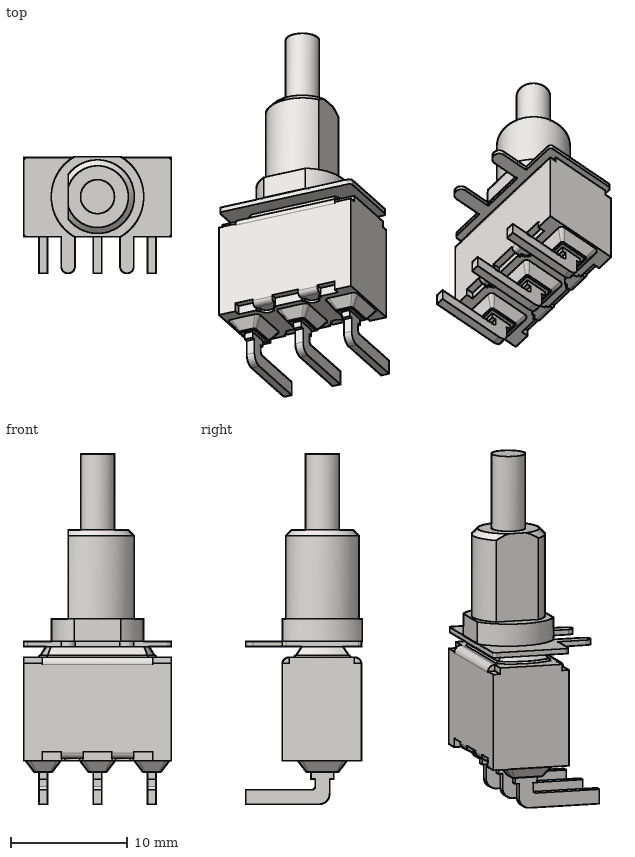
import cadquery as cq
import math


TERMINAL_COLLAR_Z = 2.17
SEAL_BOTTOM_Z = 2.75
CASE_BOTTOM_Z = 3.75
END_BLOCK_TOP_Z = 12.15
CASE_TOP_Z = 12.68
PLATE_BOTTOM_Z = 13.6
PLATE_TOP_Z = 14.05
FLANGE_TOP_Z = 15.97
BUSHING_TOP_Z = 23.65
PLUNGER_TOP_Z = 30.2

CASE_LENGTH = 12.7
FRONT_Y = -3.47
BACK_Y = 3.38
CASE_DEPTH = BACK_Y - FRONT_Y
CASE_CENTER_Y = (FRONT_Y + BACK_Y) / 2
SHELL_THICKNESS = 0.63
CORE_DEPTH = CASE_DEPTH - 2 * SHELL_THICKNESS
SHELL_LENGTH = 9.55
SHELL_BOTTOM_Z = 4.53
SHELL_RADIUS = 0.63

CRIMP_X = 2.17
CRIMP_WIDTH = 1.87
CRIMP_BOTTOM_Z = 4.0
CRIMP_RADIUS = 0.45
POCKET_WIDTH = 1.78
POCKET_MOUTH_DEPTH = 0.2
POCKET_ROUND_RADIUS = 0.65

PAD_FOOT_TOP_Z = 12.85
PAD_FLAT_LENGTH = 8.75
PAD_DEPTH = 4.9
PAD_END_BULGE = 0.72
PAD_LEDGE = 0.05
PAD_TAPER = 34.0

PLATE_CORNER_RADIUS = 0.3
LEG_X = 2.55
LEG_WIDTH = 1.2
REACH_Y = -6.6

FLANGE_RADIUS = 4.0
FLANGE_DEPTH = 6.88
BUSHING_RADIUS = 3.17
BUSHING_FLAT_X = -2.55
BUSHING_CHAMFER = 0.5
PLUNGER_DIAMETER = 2.93

TERMINAL_PITCH = 4.68
TERMINAL_WIDTH = 0.75
TERMINAL_THICKNESS = 1.27
COLLAR_DEPTH = 2.0
BEND_INNER_RADIUS = 0.27
BEND_OUTER_RADIUS = 0.9
SEAL_TOP_LENGTH = 3.02
SEAL_TOP_DEPTH = 4.23
SEAL_TOP_CORNER = 0.4
SEAL_INSET = 0.75
SEAL_BOTTOM_CORNER = 0.18
SEAL_CHAMFER = 0.1


def block(length, depth, bottom_z, top_z, center_y=0.0):
    """Box centred on X = 0 between two heights."""
    box = cq.Workplane("XY").box(length, depth, top_z - bottom_z, centered=(True, True, False))
    return box.translate((0, center_y, bottom_z))


def cylinder(radius, bottom_z, top_z):
    return cq.Workplane("XY").workplane(offset=bottom_z).circle(radius).extrude(top_z - bottom_z)


def make_case():
    core = block(CASE_LENGTH, CORE_DEPTH, CASE_BOTTOM_Z, CASE_TOP_Z, CASE_CENTER_Y)
    ends = block(CASE_LENGTH, CASE_DEPTH, CASE_BOTTOM_Z, END_BLOCK_TOP_Z, CASE_CENTER_Y)
    ends = ends.cut(block(SHELL_LENGTH, CASE_DEPTH, CASE_BOTTOM_Z, END_BLOCK_TOP_Z, CASE_CENTER_Y))
    shell = block(SHELL_LENGTH, CASE_DEPTH, SHELL_BOTTOM_Z, CASE_TOP_Z, CASE_CENTER_Y)
    shell = shell.edges("|X and >Z").fillet(SHELL_RADIUS)
    case = core.union(ends).union(shell)
    for x in (-CRIMP_X, CRIMP_X):
        for turn in (0, 180):
            case = case.cut(place_crimp(make_crimp_pocket(), x, turn))
            case = case.union(place_crimp(make_crimp_tab(), x, turn))
    return case


def make_crimp_tab():
    """Shell tab curling under the core, drawn for the front face at X = 0."""
    front = -CASE_DEPTH / 2
    tab = block(CRIMP_WIDTH, SHELL_THICKNESS, CRIMP_BOTTOM_Z, SHELL_BOTTOM_Z, front + SHELL_THICKNESS / 2)
    return tab.edges("|X and <Y and <Z").fillet(CRIMP_RADIUS)


def make_crimp_pocket():
    """Recess below a tab: a wide shallow mouth with a half-round back."""
    mouth_back = -CORE_DEPTH / 2 + POCKET_MOUTH_DEPTH
    mouth = block(POCKET_WIDTH, 2 * POCKET_MOUTH_DEPTH, CASE_BOTTOM_Z, CRIMP_BOTTOM_Z, -CORE_DEPTH / 2)
    rounded = cylinder(POCKET_ROUND_RADIUS, CASE_BOTTOM_Z, CRIMP_BOTTOM_Z).translate((0, mouth_back, 0))
    return mouth.union(rounded)


def place_crimp(feature, x, turn):
    return feature.rotate((0, 0, 0), (0, 0, 1), turn).translate((x, CASE_CENTER_Y, 0))


def pad_layer(inset, bottom_z, top_z):
    """One sloping layer of the pad, its base outline set inward by the given amount."""
    half_flat = PAD_FLAT_LENGTH / 2 - inset / 2
    half_depth = PAD_DEPTH / 2 - inset
    end_x = PAD_FLAT_LENGTH / 2 + PAD_END_BULGE - inset
    outline = (
        cq.Workplane("XY")
        .workplane(offset=bottom_z)
        .moveTo(-half_flat, -half_depth)
        .lineTo(half_flat, -half_depth)
        .threePointArc((end_x, 0), (half_flat, half_depth))
        .lineTo(-half_flat, half_depth)
        .threePointArc((-end_x, 0), (-half_flat, -half_depth))
        .close()
    )
    return outline.extrude(top_z - bottom_z, taper=PAD_TAPER)


def make_pad():
    foot_height = PAD_FOOT_TOP_Z - CASE_TOP_Z
    foot_inset = foot_height * math.tan(math.radians(PAD_TAPER))
    foot = pad_layer(0, CASE_TOP_Z, PAD_FOOT_TOP_Z)
    upper = pad_layer(foot_inset + PAD_LEDGE, PAD_FOOT_TOP_Z, PLATE_BOTTOM_Z)
    return foot.union(upper)


def make_plate():
    plate = block(CASE_LENGTH, CASE_DEPTH, PLATE_BOTTOM_Z, PLATE_TOP_Z, CASE_CENTER_Y)
    plate = plate.edges("|Z").fillet(PLATE_CORNER_RADIUS)
    leg_round_y = REACH_Y + LEG_WIDTH / 2
    for x in (-LEG_X, LEG_X):
        leg = block(LEG_WIDTH, -leg_round_y, PLATE_BOTTOM_Z, PLATE_TOP_Z, leg_round_y / 2)
        tip = cylinder(LEG_WIDTH / 2, PLATE_BOTTOM_Z, PLATE_TOP_Z).translate((0, leg_round_y, 0))
        plate = plate.union(leg.union(tip).translate((x, 0, 0)))
    return plate


def make_flange():
    flange_disc = cylinder(FLANGE_RADIUS, PLATE_TOP_Z, FLANGE_TOP_Z)
    return flange_disc.intersect(block(2 * FLANGE_RADIUS, FLANGE_DEPTH, PLATE_TOP_Z, FLANGE_TOP_Z))


def make_bushing():
    bushing = cylinder(BUSHING_RADIUS, FLANGE_TOP_Z, BUSHING_TOP_Z)
    bushing = bushing.faces(">Z").chamfer(BUSHING_CHAMFER)
    keep_length = BUSHING_RADIUS - BUSHING_FLAT_X
    keep = block(keep_length, 2 * BUSHING_RADIUS, FLANGE_TOP_Z, BUSHING_TOP_Z)
    return bushing.intersect(keep.translate((BUSHING_FLAT_X + keep_length / 2, 0, 0)))


def rounded_rectangle(length, depth, corner):
    return cq.Sketch().rect(length, depth).vertices().fillet(corner)


def make_seal():
    """Sealing cone that narrows downward around a terminal."""
    upper = rounded_rectangle(SEAL_TOP_LENGTH, SEAL_TOP_DEPTH, SEAL_TOP_CORNER)
    lower = rounded_rectangle(
        SEAL_TOP_LENGTH - 2 * SEAL_INSET, SEAL_TOP_DEPTH - 2 * SEAL_INSET, SEAL_BOTTOM_CORNER
    )
    height = CASE_BOTTOM_Z - SEAL_BOTTOM_Z
    seal = (
        cq.Workplane("XY")
        .workplane(offset=SEAL_BOTTOM_Z)
        .placeSketch(lower, upper.moved(cq.Location(cq.Vector(0, 0, height))))
        .loft()
    )
    return seal.faces("<Z").chamfer(SEAL_CHAMFER)


def make_terminal():
    """Flat terminal with a collar, bent from -Z to -Y."""
    half = TERMINAL_THICKNESS / 2
    shank = block(TERMINAL_WIDTH, TERMINAL_THICKNESS, 0, TERMINAL_COLLAR_Z)
    foot_depth = half - REACH_Y
    foot = block(TERMINAL_WIDTH, foot_depth, 0, TERMINAL_THICKNESS, half - foot_depth / 2)
    terminal = shank.union(foot)
    terminal = terminal.edges("|X and >Y and <Z").fillet(BEND_OUTER_RADIUS)
    inner_corner = cq.selectors.NearestToPointSelector((0, -half, TERMINAL_THICKNESS))
    terminal = terminal.edges(inner_corner).fillet(BEND_INNER_RADIUS)
    collar = block(TERMINAL_WIDTH, COLLAR_DEPTH, TERMINAL_COLLAR_Z, SEAL_BOTTOM_Z)
    return terminal.union(collar)


result = make_case().union(make_pad()).union(make_plate()).union(make_flange()).union(make_bushing())
result = result.union(cylinder(PLUNGER_DIAMETER / 2, BUSHING_TOP_Z, PLUNGER_TOP_Z))
for terminal_x in (-TERMINAL_PITCH, 0, TERMINAL_PITCH):
    result = result.union(make_seal().union(make_terminal()).translate((terminal_x, 0, 0)))